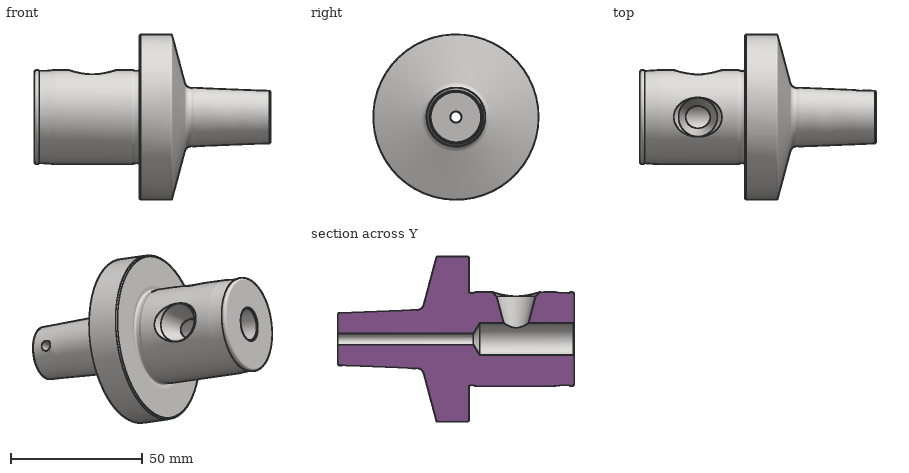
import cadquery as cq
import math

overall_length = 90.0

shank_radius = 18.0
nose_face_radius = 16.8
nose_crest = 1.1
nose_end = 1.9
lead_in_start = 2.4
lead_in_end = 7.8
relief_depth = 0.4
relief_radius = shank_radius - relief_depth

undercut_start = 37.3
undercut_floor_start = 38.4
undercut_floor_end = 39.3
undercut_round = 0.8
undercut_rim_radius = 19.7

flange_start = 40.0
flange_radius = 31.5
flange_chamfer = 0.5
flange_rim_end = 51.8
rim_round = 0.7
back_angle = 15.0
back_end = 57.3

stub_start = 60.6
stub_root_radius = 11.25
stub_tip_radius = 10.1
stub_chamfer = 0.5

bore_radius = 6.0
bore_mouth_chamfer = 0.45
bore_depth = 36.0
drill_point_angle = 118.0
coolant_radius = 2.1

cross_hole_x = 22.1
cross_hole_angle = 15.0
seat_radius = 7.4
seat_height = 16.2

outlet_x = 83.7
outlet_radius = 2.0


def revolve_about_x(profile):
    return profile.close().revolve(360, (0, 0, 0), (1, 0, 0))


def make_blank():
    diagonal = math.sqrt(0.5)
    undercut_end = undercut_floor_end + undercut_round
    undercut_center_radius = relief_radius + undercut_round

    slope = math.radians(back_angle)
    rim_center_radius = flange_radius - rim_round
    half_turn = (math.pi / 2 + slope) / 2
    back_start = flange_rim_end + rim_round * math.cos(slope)
    back_start_radius = rim_center_radius + rim_round * math.sin(slope)
    back_end_radius = back_start_radius - (back_end - back_start) / math.tan(slope)

    profile = (
        cq.Workplane("XY")
        .lineTo(0, nose_face_radius)
        .threePointArc((nose_crest, shank_radius), (nose_end, relief_radius))
        .lineTo(lead_in_start, relief_radius)
        .lineTo(lead_in_end, shank_radius)
        .lineTo(undercut_start, shank_radius)
        .lineTo(undercut_floor_start, relief_radius)
        .lineTo(undercut_floor_end, relief_radius)
        .threePointArc(
            (
                undercut_floor_end + undercut_round * diagonal,
                undercut_center_radius - undercut_round * diagonal,
            ),
            (undercut_end, undercut_center_radius),
        )
        .lineTo(flange_start, undercut_rim_radius)
        .lineTo(flange_start, flange_radius - flange_chamfer)
        .lineTo(flange_start + flange_chamfer, flange_radius)
        .lineTo(flange_rim_end, flange_radius)
        .threePointArc(
            (
                flange_rim_end + rim_round * math.cos(half_turn),
                rim_center_radius + rim_round * math.sin(half_turn),
            ),
            (back_start, back_start_radius),
        )
        .lineTo(back_end, back_end_radius)
        .tangentArcPoint((stub_start, stub_root_radius), relative=False)
        .lineTo(overall_length - stub_chamfer, stub_tip_radius)
        .lineTo(overall_length, stub_tip_radius - stub_chamfer)
        .lineTo(overall_length, 0)
    )
    return revolve_about_x(profile)


def make_axial_bore():
    half_point = math.radians(drill_point_angle / 2)
    point_length = (bore_radius - coolant_radius) / math.tan(half_point)
    profile = (
        cq.Workplane("XY")
        .lineTo(0, bore_radius + bore_mouth_chamfer)
        .lineTo(bore_mouth_chamfer, bore_radius)
        .lineTo(bore_depth, bore_radius)
        .lineTo(bore_depth + point_length, coolant_radius)
        .lineTo(overall_length, coolant_radius)
        .lineTo(overall_length, 0)
    )
    return revolve_about_x(profile)


def make_cross_hole():
    """Hole along +Z, from the bore axis to just outside the shank."""
    top = shank_radius + 0.9
    inner_radius = seat_radius - seat_height * math.tan(math.radians(cross_hole_angle))
    top_radius = seat_radius + top - seat_height
    return (
        cq.Workplane("XZ", origin=(cross_hole_x, 0, 0))
        .lineTo(inner_radius, 0)
        .lineTo(seat_radius, seat_height)
        .lineTo(top_radius, top)
        .lineTo(0, top)
        .close()
        .revolve(360, (0, 0, 0), (0, 1, 0))
    )


def make_outlet():
    """Hole along +Y, from the coolant hole to outside the stub."""
    return (
        cq.Workplane("XZ", origin=(outlet_x, 0, 0))
        .circle(outlet_radius)
        .extrude(-stub_root_radius)
    )


adapter = make_blank().cut(make_axial_bore())
for turn in (0, -90):
    adapter = adapter.cut(make_cross_hole().rotate((0, 0, 0), (1, 0, 0), turn))
adapter = adapter.cut(make_outlet())

result = cq.Compound.makeCompound([adapter.solids().val()])